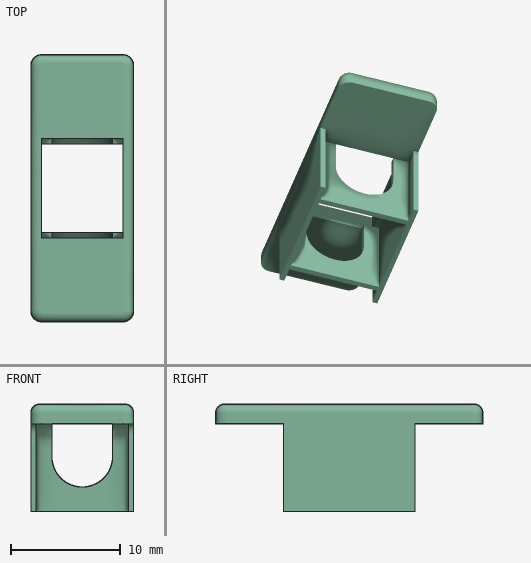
import cadquery as cq

plate_length = 24.4
plate_width = 9.4
plate_thickness = 1.8
corner_radius = 1.0
top_edge_radius = 0.8

window_width = 7.42
window_length = 9.08

total_height = 9.8
wall_height = total_height - plate_thickness
side_wall_length = 12.0
side_wall_thickness = 0.46
end_wall_thickness = 0.51
wall_gap = plate_width - 2 * side_wall_thickness

notch_width = 5.51
notch_depth = 5.75
notch_radius = notch_width / 2


def make_plate():
    """Plate with rounded corners and a rounded top edge; its underside is at Z = 0."""
    plate = (
        cq.Workplane("XY")
        .rect(plate_width, plate_length)
        .extrude(plate_thickness)
        .edges("|Z").fillet(corner_radius)
        .faces(">Z").edges().fillet(top_edge_radius)
    )
    window = cq.Workplane("XY").rect(window_width, window_length).extrude(plate_thickness)
    return plate.cut(window)


def make_side_wall(side):
    """Wall flush with one long side of the plate."""
    center_x = side * (plate_width - side_wall_thickness) / 2
    return (
        cq.Workplane("XY")
        .center(center_x, 0)
        .rect(side_wall_thickness, side_wall_length)
        .extrude(-wall_height)
    )


def make_end_wall(side):
    """Notched wall between the side walls, its outer face level with the window end."""
    center_y = side * (window_length - end_wall_thickness) / 2
    wall = (
        cq.Workplane("XY")
        .center(0, center_y)
        .rect(wall_gap, end_wall_thickness)
        .extrude(-wall_height)
    )
    arc_start_z = notch_radius - notch_depth
    notch = (
        cq.Workplane("XZ", origin=(0, center_y, 0))
        .moveTo(-notch_radius, 0)
        .lineTo(-notch_radius, arc_start_z)
        .threePointArc((0, -notch_depth), (notch_radius, arc_start_z))
        .lineTo(notch_radius, 0)
        .close()
        .extrude(end_wall_thickness, both=True)
    )
    return wall.cut(notch)


result = make_plate()
for side in (-1, 1):
    result = result.union(make_side_wall(side))
for side in (-1, 1):
    result = result.union(make_end_wall(side))